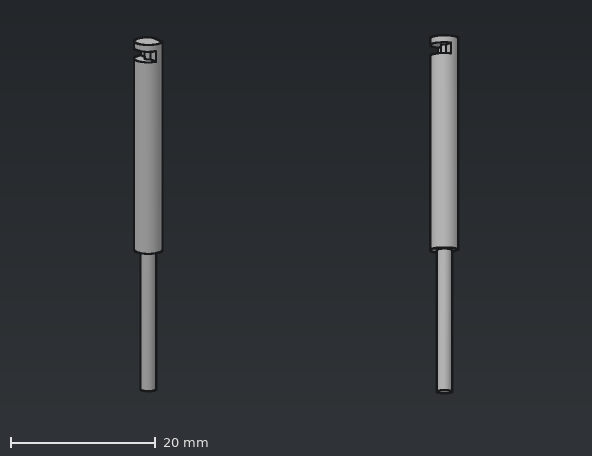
import cadquery as cq

total_length = 50.0
pin_length = 20.0
pin_diameter = 2.2
body_diameter = 4.0
flat_offset = 1.5
head_thickness = 1.0
slot_height = 1.5
neck_diameter = 1.0

body_length = total_length - pin_length
body_radius = body_diameter / 2
slot_bottom = total_length - head_thickness - slot_height


def round_bar(diameter, bottom, length):
    """Vertical cylinder on the Z axis."""
    return cq.Workplane("XY").workplane(offset=bottom).circle(diameter / 2).extrude(length)


def flatted_body():
    """Thick upper bar with one flat along its full length."""
    envelope = (
        cq.Workplane("XY")
        .workplane(offset=pin_length)
        .center(0, (flat_offset - body_radius) / 2)
        .rect(body_diameter, body_radius + flat_offset)
        .extrude(body_length)
    )
    return round_bar(body_diameter, pin_length, body_length).intersect(envelope)


def head_slot():
    """Slot across the -Y half, leaving the round neck in place."""
    opening = (
        cq.Workplane("XY")
        .workplane(offset=slot_bottom)
        .center(0, -body_radius / 2)
        .rect(body_diameter, body_radius)
        .extrude(slot_height)
    )
    return opening.cut(round_bar(neck_diameter, slot_bottom, slot_height))


pin = round_bar(pin_diameter, 0, pin_length)
result = flatted_body().cut(head_slot()).union(pin)